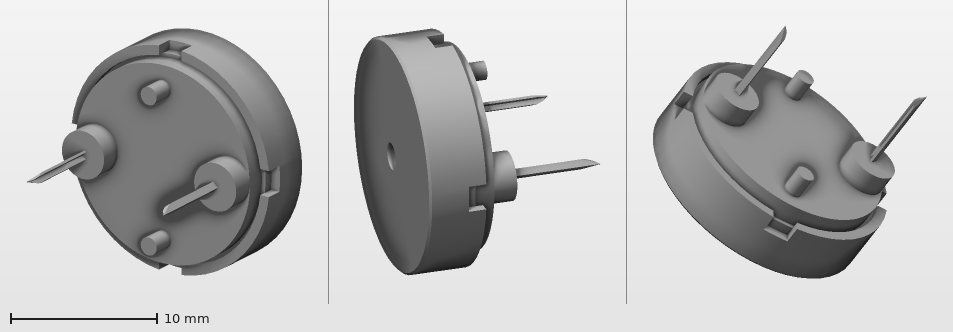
import cadquery as cq


case_radius = 8.25
case_depth = 4.1
back_chamfer = 0.16
rim_inner_radius = 7.54
groove_depth = 0.55

base_radius = 7.25
base_depth = 5.0

notch_width = 1.9
notch_depth = 1.25
notch_angles = (0, 90, 180, 270)

port_radius = 0.949
port_depth = 0.58

feature_offset = 5.5
boss_radius = base_radius - feature_offset
boss_end = 6.65
post_radius = 0.66
post_end = 6.7

pin_end = 13.2
pin_arm = 0.38
pin_wall = 0.124
pin_apex_offset = 0.23
pin_taper = 1.29
bevel_length = 0.4
bevel_reach = 0.33


def cylinder(radius, start, end, x=0, z=0):
    """Round bar along -Y between two depths behind the back face."""
    return (
        cq.Workplane("XZ", origin=(x, -start, z))
        .circle(radius)
        .extrude(end - start)
    )


def make_case():
    case = cylinder(case_radius, 0, case_depth).faces(">Y").chamfer(back_chamfer)
    groove = cylinder(rim_inner_radius, case_depth - groove_depth, case_depth)
    return case.cut(groove)


def make_notch(angle):
    """Rim cutter that leaves everything inside the rim untouched."""
    start = case_depth - notch_depth
    block = (
        cq.Workplane("XZ", origin=(0, -start, 0))
        .rect(case_radius * 1.1, notch_width)
        .extrude(notch_depth)
        .translate((case_radius * 0.55, 0, 0))
        .rotate((0, 0, 0), (0, 1, 0), angle)
    )
    return block.cut(cylinder(rim_inner_radius, start, case_depth))


def make_left_pin():
    apex_x = -feature_offset - pin_apex_offset
    section = [
        (0, 0),
        (pin_arm, pin_arm),
        (pin_arm + pin_wall, pin_arm - pin_wall),
        (2 * pin_wall, 0),
        (pin_arm + pin_wall, pin_wall - pin_arm),
        (pin_arm, -pin_arm),
    ]
    bar = (
        cq.Workplane("XZ", origin=(apex_x, -base_depth, 0))
        .polyline(section)
        .close()
        .extrude(pin_end - base_depth)
    )

    shoulder = pin_end - pin_taper
    pin_width = pin_arm + pin_wall
    side_profile = [
        (-base_depth, pin_arm),
        (-shoulder, pin_arm),
        (-pin_end, 0),
        (-shoulder, -pin_arm),
        (-base_depth, -pin_arm),
    ]
    point = (
        cq.Workplane("YZ", origin=(apex_x, 0, 0))
        .polyline(side_profile)
        .close()
        .extrude(pin_width)
    )

    bevel = (
        cq.Workplane("XY", origin=(apex_x, 0, 0))
        .polyline([
            (0, -pin_end),
            (bevel_reach, bevel_length - pin_end),
            (pin_width, bevel_length - pin_end),
            (pin_width, -pin_end),
        ])
        .close()
        .extrude(pin_arm, both=True)
    )
    return bar.intersect(point).cut(bevel)


result = make_case().union(cylinder(base_radius, port_depth, base_depth))

for notch_angle in notch_angles:
    result = result.cut(make_notch(notch_angle))

result = result.cut(cylinder(port_radius, 0, port_depth))

left_pin = make_left_pin()
for side, pin in ((-1, left_pin), (1, left_pin.mirror("YZ"))):
    boss = cylinder(boss_radius, base_depth, boss_end, x=side * feature_offset)
    post = cylinder(post_radius, base_depth, post_end, z=side * feature_offset)
    result = result.union(boss).union(post).union(pin)